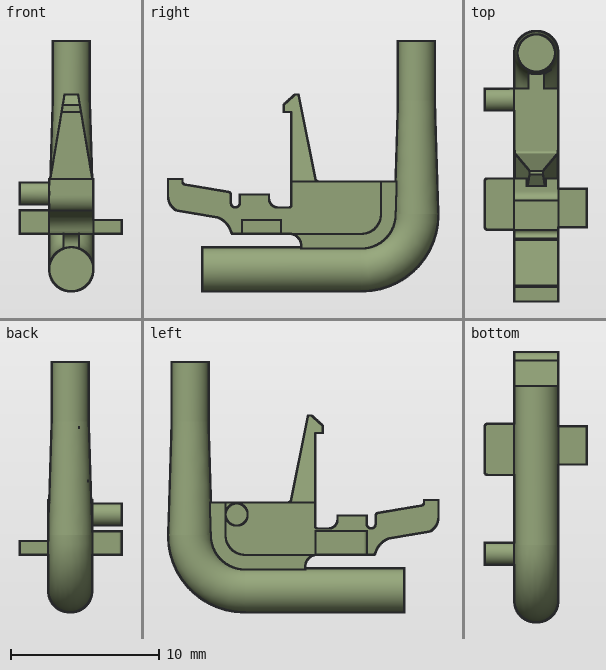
import cadquery as cq
import math


rod_diameter = 3.0
rod_radius = rod_diameter / 2
tip_diameter = 2.52
bend_center = 5.2
bend_radius = bend_center - rod_radius
taper_top = 12.87
rod_top = 16.9
rod_front = 15.95

block_rear = 3.89
block_front = 9.95
block_bottom = block_rear
block_top = 7.43
block_corner = bend_center - block_rear
floor_z = 5.68
floor_corner = 0.11
step_rear = 11.42
step_top = 6.55
step_fillet = 0.58
step_front = 13.41
slot_front = 14.0
slot_radius = (slot_front - step_front) / 2
ramp_rear = 14.1
ramp_rear_z = 6.72
ramp_chamfer_drop = 0.13
ramp_front = 17.15
ramp_front_z = 7.23
lip_rear = 17.26
lip_chamfer_rise = 0.11
lip_top = 7.6
arm_front = 18.25
nose_top = 6.45
nose_bottom = (17.67, 5.45)
nose_middle = (18.03, 5.77)
neck_top = (14.87, 4.98)
neck_middle = (14.29, 4.56)
neck_lower = (14.0, 4.02)
neck_bottom = 13.92

web_width = 1.05
web_front = 9.27
web_fillet = 0.78

latch_rear = 8.27
latch_top = 13.29
latch_top_rear = 9.44
latch_top_front = 9.69
hook_front = 10.45
hook_upper = 12.6
hook_lower = 12.1
latch_base_half_width = 1.45
latch_top_half_width = 0.45
latch_root_fillet = 0.2

left_end = -3.49
right_end = 3.41
left_tab_top = 5.5
left_tab_fillet = 0.2
right_tab_rear = 10.64
right_tab_front = 13.25
right_tab_top = 4.84
pin_diameter = 1.5
pin_rear = block_rear
pin_z = 6.6


def side_plane(x=0):
    """Sketch plane facing -X: first axis runs forward (-Y), second axis up."""
    return cq.Workplane(cq.Plane(origin=(x, 0, 0), xDir=(0, -1, 0), normal=(-1, 0, 0)))


def box(x_min, x_max, rear, front, bottom, top):
    size = (x_max - x_min, front - rear, top - bottom)
    return cq.Workplane("XY").box(*size, centered=False).translate((x_min, -front, bottom))


def bent_rod():
    upright = (
        cq.Workplane("XZ")
        .moveTo(0, bend_center)
        .lineTo(rod_radius, bend_center)
        .lineTo(tip_diameter / 2, taper_top)
        .lineTo(tip_diameter / 2, rod_top)
        .lineTo(0, rod_top)
        .close()
        .revolve(360, (0, 0), (0, 1))
        .translate((0, -rod_radius, 0))
    )
    arc_offset = bend_radius * math.sqrt(0.5)
    path = (
        side_plane()
        .moveTo(rod_radius, bend_center)
        .threePointArc(
            (bend_center - arc_offset, bend_center - arc_offset),
            (bend_center, rod_radius),
        )
        .lineTo(rod_front, rod_radius)
    )
    lower = (
        cq.Workplane("XY", origin=(0, -rod_radius, bend_center))
        .circle(rod_radius)
        .sweep(path)
    )
    return upright.union(lower)


def block_and_arm():
    corner_offset = block_corner * math.sqrt(0.5)
    return (
        side_plane(rod_radius)
        .moveTo(block_rear, block_top)
        .lineTo(block_front, block_top)
        .lineTo(block_front, floor_z + floor_corner)
        .radiusArc((block_front + floor_corner, floor_z), -floor_corner)
        .lineTo(step_rear - step_fillet, floor_z)
        .radiusArc((step_rear, floor_z + step_fillet), -step_fillet)
        .lineTo(step_rear, step_top)
        .lineTo(step_front, step_top)
        .lineTo(step_front, floor_z + slot_radius)
        .threePointArc(
            (step_front + slot_radius, floor_z),
            (slot_front, floor_z + slot_radius),
        )
        .lineTo(slot_front, ramp_rear_z - ramp_chamfer_drop)
        .lineTo(ramp_rear, ramp_rear_z)
        .lineTo(ramp_front, ramp_front_z)
        .lineTo(lip_rear, ramp_front_z + lip_chamfer_rise)
        .lineTo(lip_rear, lip_top)
        .lineTo(arm_front, lip_top)
        .lineTo(arm_front, nose_top)
        .threePointArc(nose_middle, nose_bottom)
        .lineTo(*neck_top)
        .threePointArc(neck_middle, neck_lower)
        .lineTo(neck_bottom, block_bottom)
        .lineTo(bend_center, block_bottom)
        .threePointArc(
            (bend_center - corner_offset, bend_center - corner_offset),
            (block_rear, bend_center),
        )
        .close()
        .extrude(rod_diameter)
    )


def web():
    arc_offset = bend_radius * math.sqrt(0.5)
    return (
        side_plane(web_width / 2)
        .moveTo(rod_radius, block_top)
        .lineTo(bend_center, block_top)
        .lineTo(web_front + web_fillet, block_bottom)
        .radiusArc((web_front, block_bottom - web_fillet), -web_fillet)
        .lineTo(web_front, rod_radius)
        .lineTo(bend_center, rod_radius)
        .threePointArc(
            (bend_center - arc_offset, bend_center - arc_offset),
            (rod_radius, bend_center),
        )
        .close()
        .extrude(web_width)
    )


def latch():
    side_profile = (
        side_plane(rod_radius)
        .polyline([
            (latch_rear, block_top),
            (latch_top_rear, latch_top),
            (latch_top_front, latch_top),
            (hook_front, hook_upper),
            (hook_front, hook_lower),
            (block_front, hook_lower),
            (block_front, block_top),
        ])
        .close()
        .extrude(rod_diameter)
    )
    front_profile = (
        cq.Workplane("XZ")
        .polyline([
            (-latch_base_half_width, block_top),
            (latch_base_half_width, block_top),
            (latch_top_half_width, latch_top),
            (-latch_top_half_width, latch_top),
        ])
        .close()
        .extrude(arm_front)
    )
    return side_profile.intersect(front_profile)


def left_tab():
    tab = box(left_end, 0, block_front, step_front, block_bottom, left_tab_top)
    return tab.edges("|Z and <X").fillet(left_tab_fillet)


def right_tab():
    return box(0, right_end, right_tab_rear, right_tab_front, block_bottom, right_tab_top)


def pin():
    return (
        side_plane()
        .center(pin_rear + pin_diameter / 2, pin_z)
        .circle(pin_diameter / 2)
        .extrude(-left_end)
    )


latch_root = cq.selectors.NearestToPointSelector((0, -latch_rear, block_top))
body = block_and_arm().union(latch()).edges(latch_root).fillet(latch_root_fillet)

result = body.union(web()).union(bent_rod())
for side_feature in (left_tab(), right_tab(), pin()):
    result = result.union(side_feature)